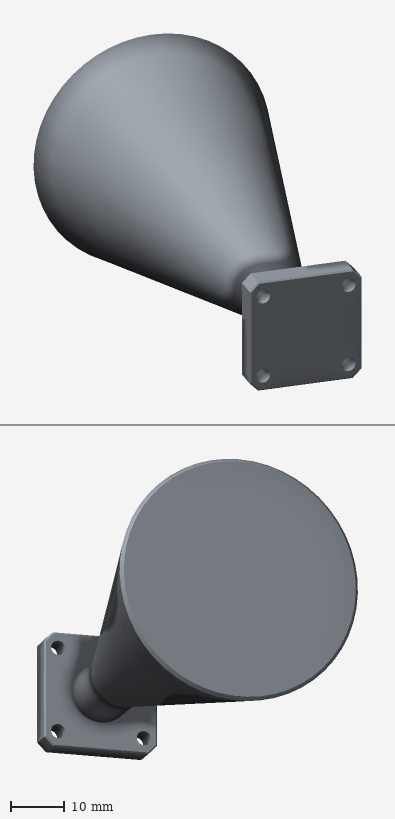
import cadquery as cq

total_length = 91.4
mouth_radius = 23.6
mouth_chamfer = 0.6
neck_start = 75.0
neck_radius = 5.8

flange_side = 22.3
flange_thickness = 4.9
flange_corner_chamfer = 1.7
flange_edge_chamfer = 0.3
hole_spacing_y = 17.0
hole_spacing_z = 16.3
hole_diameter = 2.7

flange_start = total_length - flange_thickness


def make_horn():
    """Solid cone with a chamfered mouth, running into a straight neck."""
    profile = (
        cq.Workplane("XZ")
        .moveTo(0, 0)
        .lineTo(0, mouth_radius - mouth_chamfer)
        .lineTo(mouth_chamfer, mouth_radius)
        .lineTo(neck_start, neck_radius)
        .lineTo(flange_start, neck_radius)
        .lineTo(flange_start, 0)
        .close()
    )
    return profile.revolve(360, (0, 0, 0), (1, 0, 0))


def make_flange():
    """Square plate with cut corners, softened rims and four through holes."""
    plate = (
        cq.Workplane("YZ", origin=(flange_start, 0, 0))
        .rect(flange_side, flange_side)
        .extrude(flange_thickness)
        .edges("|X")
        .chamfer(flange_corner_chamfer)
        .faces("<X or >X")
        .edges()
        .chamfer(flange_edge_chamfer)
    )
    holes = (
        cq.Workplane("YZ", origin=(flange_start, 0, 0))
        .rect(hole_spacing_y, hole_spacing_z, forConstruction=True)
        .vertices()
        .circle(hole_diameter / 2)
        .extrude(flange_thickness)
    )
    return plate.cut(holes)


result = make_horn().union(make_flange())